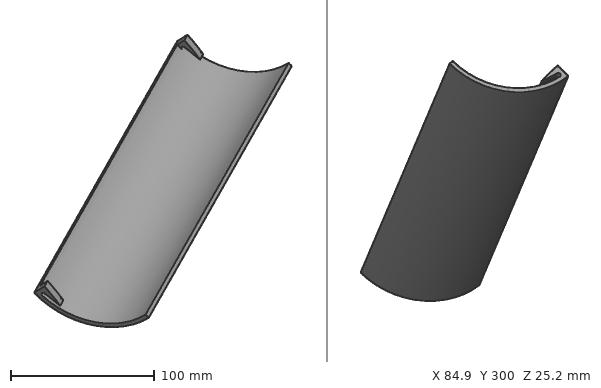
import cadquery as cq
import math

length = 300.0
outer_radius = 60.0
thickness = 3.3
half_angle = 45.0
inner_radius = outer_radius - thickness

clip_length = 6.5
clip_height = 10.8
wall = 3.3
lip_reach = 18.3
lip_tip_height = 9.0
lip_bulge = 0.3
slot_mouth_height = 6.5
slot_round_depth = 1.5


def radial_point(radius, angle):
    """Point at an angle from straight down, about the channel axis."""
    a = math.radians(angle)
    return (radius * math.sin(a), outer_radius - radius * math.cos(a))


def clip_point(along, inward):
    """Point measured along the left edge's tangent and inward from its outer corner."""
    a = math.radians(half_angle)
    corner_x, corner_z = radial_point(outer_radius, -half_angle)
    return (
        corner_x + along * math.cos(a) + inward * math.sin(a),
        corner_z - along * math.sin(a) + inward * math.cos(a),
    )


def arc_height(radius, along):
    """Inward distance of a channel surface at a given place along the tangent."""
    return outer_radius - math.sqrt(radius**2 - along**2)


def make_channel():
    return (
        cq.Workplane("XZ", origin=(0, length / 2, 0))
        .moveTo(*radial_point(outer_radius, -half_angle))
        .threePointArc(radial_point(outer_radius, 0), radial_point(outer_radius, half_angle))
        .lineTo(*radial_point(inner_radius, half_angle))
        .threePointArc(radial_point(inner_radius, 0), radial_point(inner_radius, -half_angle))
        .close()
        .extrude(length)
    )


def make_clip(back_y):
    """Hook with a tapered lip and a round-ended slot, extruded toward -Y."""
    slot_start = wall + slot_round_depth
    shell_middle = outer_radius - thickness / 2
    slot_floor = arc_height(inner_radius, slot_start)
    slot_middle = (slot_floor + slot_mouth_height) / 2
    lip_middle = (clip_height + lip_tip_height) / 2 + lip_bulge
    return (
        cq.Workplane("XZ", origin=(0, back_y, 0))
        .moveTo(*clip_point(0, arc_height(shell_middle, 0)))
        .lineTo(*clip_point(0, clip_height))
        .threePointArc(clip_point(lip_reach / 2, lip_middle), clip_point(lip_reach, lip_tip_height))
        .lineTo(*clip_point(slot_start, slot_mouth_height))
        .threePointArc(clip_point(wall, slot_middle), clip_point(slot_start, slot_floor))
        .lineTo(*clip_point(slot_start, arc_height(shell_middle, slot_start)))
        .close()
        .extrude(clip_length)
    )


result = make_channel()
for clip_back in (length / 2, -length / 2 + clip_length):
    result = result.union(make_clip(clip_back))